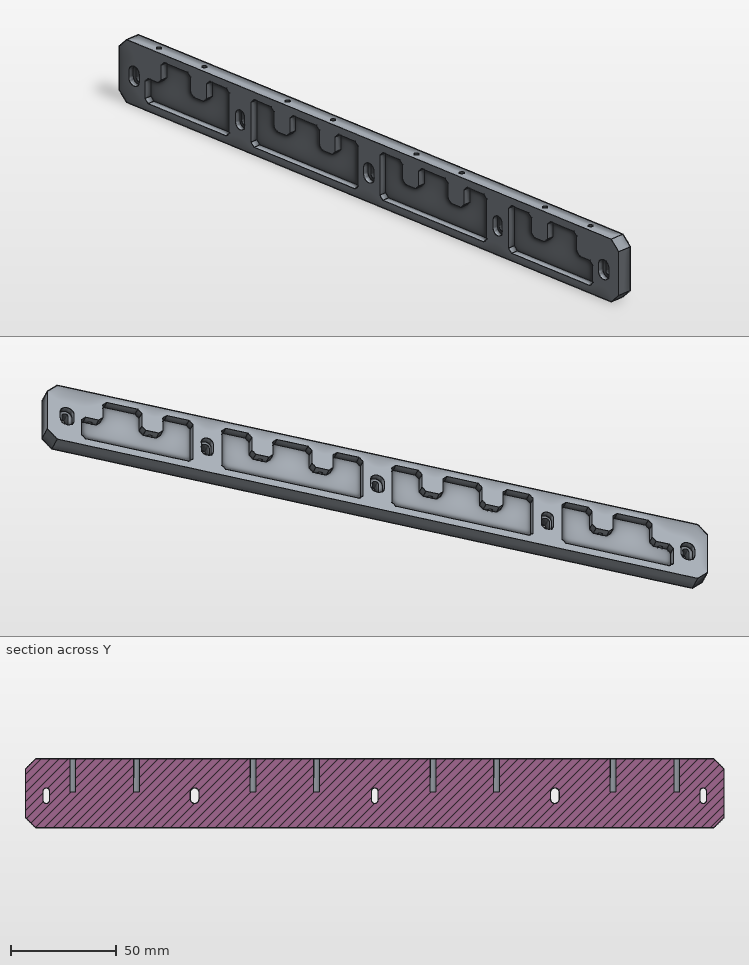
import cadquery as cq

length = 330.0
thickness = 8.0
height = 32.7
corner_chamfer = 5.0
front_y = -thickness / 2

bay_count = 4
outer_bay_spacing = 255.0
bay_pitch = outer_bay_spacing / (bay_count - 1)
pocket_width = 70.5
pocket_height = 24.8
pocket_depth = 4.0
pocket_corner_chamfer = 2.0
tab_spacing = 30.0
tab_width = 10.5
tab_bottom_z = 0.5
pocket_top_z = pocket_height / 2

screw_hole_diameter = 2.48
screw_hole_depth = height / 2 - tab_bottom_z

slot_z = -1.15
end_slot_x = 155.0
recess_length = 10.2
slot_length = 7.3
recess_depth = 3.0
wide_recess_width = 7.0
wide_slot_width = 3.0
narrow_recess_width = 6.0
narrow_slot_width = 4.0

bay_centers = [bay_pitch * (i - (bay_count - 1) / 2) for i in range(bay_count)]
end_pocket_limit = bay_centers[-1] + (tab_spacing + tab_width) / 2


def pocket_block(x_min, x_max, z_min, z_max):
    """Block reaching from the front face to the pocket floor."""
    block = cq.Workplane("XY").box(x_max - x_min, pocket_depth, z_max - z_min, centered=False)
    return block.translate((x_min, front_y, z_min))


def tab_centers(bay_x):
    """X positions of the two tabs of a bay."""
    return [bay_x - tab_spacing / 2, bay_x + tab_spacing / 2]


def pocket(bay_x):
    """Pocket volume of one bay; an end bay stops at the outer side of its outer tab."""
    x_min = max(bay_x - pocket_width / 2, -end_pocket_limit)
    x_max = min(bay_x + pocket_width / 2, end_pocket_limit)
    body = pocket_block(x_min, x_max, -pocket_top_z, pocket_top_z)
    for tab_x in tab_centers(bay_x):
        tab_left = tab_x - tab_width / 2
        tab_right = tab_x + tab_width / 2
        body = body.cut(pocket_block(tab_left, tab_right, tab_bottom_z, pocket_top_z))
    return body.edges("|Y").chamfer(pocket_corner_chamfer)


def screw_hole(x):
    """Hole volume running down from the top edge to the bottom of a tab."""
    top = cq.Workplane("XY", origin=(x, 0, height / 2))
    return top.circle(screw_hole_diameter / 2).extrude(-screw_hole_depth)


def upright_slot(x, slot_width, end_to_end, depth):
    """Round-ended slot volume running along Z, sunk from the front face."""
    face = cq.Workplane("XZ", origin=(x, front_y, slot_z))
    return face.slot2D(end_to_end, slot_width, 90).extrude(-depth)


def stepped_slot(x, recess_width, slot_width):
    """Through slot with a wider recess at the front face."""
    recess = upright_slot(x, recess_width, recess_length, recess_depth)
    return recess.union(upright_slot(x, slot_width, slot_length, thickness))


bar = cq.Workplane("XY").box(length, thickness, height).edges("|Y").chamfer(corner_chamfer)

for bay_x in bay_centers:
    bar = bar.cut(pocket(bay_x))
    for tab_x in tab_centers(bay_x):
        bar = bar.cut(screw_hole(tab_x))

for x in (-end_slot_x, 0, end_slot_x):
    bar = bar.cut(stepped_slot(x, wide_recess_width, wide_slot_width))
for x in (-bay_pitch, bay_pitch):
    bar = bar.cut(stepped_slot(x, narrow_recess_width, narrow_slot_width))

result = bar